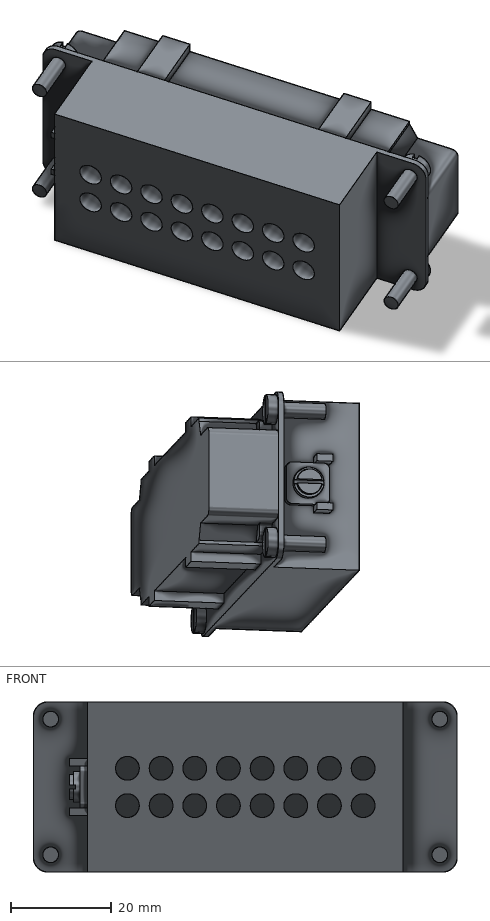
import cadquery as cq
import math


flange_length = 84.5
height = 34.0
flange_thickness = 1.1
flange_corner_radius = 3.0
flange_front = -flange_thickness

block_length = 62.9
block_depth = 17.3

hole_columns = 8
hole_rows = 2
hole_row_span = 47.0
hole_pitch_x = hole_row_span / (hole_columns - 1)
hole_pitch_z = 7.4
hole_diameter = 4.7
hole_depth = block_depth

body_depth = 14.1
body_height = 25.5
shoulder_height = 24.2
tongue_length = 84.3
tongue_height = 17.9
tongue_corner_radius = 1.5
slope_run = 1.8

rib_start = 17.0
rib_width = 6.0
rib_height = 29.4

stop_length = 70.5
stop_depth = 2.5
stop_corner_radius = 1.5
stop_root_radius = 0.6

screw_x = 38.8
screw_z = 13.5
shank_diameter = 3.1
shank_length = 8.9
head_diameter = 6.0
head_height = 2.0
head_slot_width = 1.0
head_slot_depth = 1.0

terminal_face = -block_length / 2
plate_gap = 2.2
plate_depth = 8.8
plate_height = 8.45
plate_thickness = 1.5
plate_corner_radius = 1.2
plate_center_y = flange_front - plate_gap - plate_depth / 2
clamp_collar_diameter = 6.1
clamp_collar_height = 1.3
clamp_top_diameter = 5.1
clamp_top_height = 0.85
clamp_slot_width = 0.85
clamp_slot_depth = 1.2
tab_gap = 8.0
tab_depth = 3.2
tab_thickness = 1.4
tab_length = 3.6


def box_along_y(length, box_height, start, end):
    """Box centred on X and Z that spans start to end along Y."""
    return cq.Workplane("XY").box(length, end - start, box_height).translate((0, (start + end) / 2, 0))


def cylinder_along_y(diameter, x, z, start, end):
    axis = cq.Vector(0, 1, 0)
    return cq.Workplane(cq.Solid.makeCylinder(diameter / 2, end - start, cq.Vector(x, start, z), axis))


def rod_along_minus_x(diameter, start, length):
    """Cylinder pointing to -X on the axis of the ground terminal."""
    base = cq.Vector(start, plate_center_y, 0)
    return cq.Workplane(cq.Solid.makeCylinder(diameter / 2, length, base, cq.Vector(-1, 0, 0)))


def make_flange():
    plate = box_along_y(flange_length, height, flange_front, 0)
    return plate.edges("|Y").fillet(flange_corner_radius)


def make_block():
    block = box_along_y(block_length, height, flange_front - block_depth, flange_front)
    return (
        block.faces("<Y").workplane(centerOption="CenterOfBoundBox")
        .rarray(hole_pitch_x, hole_pitch_z, hole_columns, hole_rows)
        .hole(hole_diameter, hole_depth)
    )


def make_body():
    tongue = box_along_y(tongue_length, tongue_height, 0, body_depth)
    tongue = tongue.edges("|Y").fillet(tongue_corner_radius)
    core = box_along_y(block_length, body_height, 0, body_depth)

    shoulder_x = block_length / 2
    shoulder_z = shoulder_height / 2
    slope_foot_x = shoulder_x + slope_run
    slope_foot_z = tongue_height / 2
    slopes = (
        cq.Workplane("XZ")
        .polyline([
            (shoulder_x, shoulder_z), (slope_foot_x, slope_foot_z),
            (slope_foot_x, -slope_foot_z), (shoulder_x, -shoulder_z),
            (-shoulder_x, -shoulder_z), (-slope_foot_x, -slope_foot_z),
            (-slope_foot_x, slope_foot_z), (-shoulder_x, shoulder_z),
        ])
        .close()
        .extrude(-body_depth)
    )
    body = tongue.union(core).union(slopes)

    rib_center = rib_start + rib_width / 2
    for x in (-rib_center, rib_center):
        body = body.union(box_along_y(rib_width, rib_height, 0, body_depth).translate((x, 0, 0)))
    return body


def make_stops():
    stops = box_along_y(stop_length, shoulder_height, 0, stop_depth)
    stops = stops.edges("|Y").fillet(stop_corner_radius)

    x = stop_length / 2
    z = tongue_height / 2
    r = stop_root_radius
    chord_gap = r * (1 - math.sqrt(0.5))
    root = (
        cq.Workplane("XZ")
        .moveTo(x, z)
        .lineTo(x + r, z)
        .threePointArc((x + chord_gap, z + chord_gap), (x, z + r))
        .close()
        .extrude(-stop_depth)
    )
    right_roots = root.union(root.mirror("XY"))
    return stops.union(right_roots).union(right_roots.mirror("YZ"))


def make_screw(x, z):
    shank = cylinder_along_y(shank_diameter, x, z, flange_front - shank_length, 0)
    head = cylinder_along_y(head_diameter, x, z, 0, head_height)
    slot = box_along_y(head_slot_width, head_diameter, head_height - head_slot_depth, head_height)
    return shank.union(head.cut(slot.translate((x, 0, z))))


def make_terminal():
    plate = cq.Workplane("XY").box(plate_thickness, plate_depth, plate_height)
    plate = plate.edges("|X").fillet(plate_corner_radius)
    plate = plate.translate((terminal_face - plate_thickness / 2, plate_center_y, 0))

    collar_base = terminal_face - plate_thickness
    collar_top = collar_base - clamp_collar_height
    clamp_top = collar_top - clamp_top_height
    collar = rod_along_minus_x(clamp_collar_diameter, collar_base, clamp_collar_height)
    clamp = collar.union(rod_along_minus_x(clamp_top_diameter, collar_top, clamp_top_height))
    slot = cq.Workplane("XY").box(clamp_slot_depth, clamp_collar_diameter, clamp_slot_width)
    clamp = clamp.cut(slot.translate((clamp_top + clamp_slot_depth / 2, plate_center_y, 0)))
    terminal = plate.union(clamp)

    tab_x = terminal_face - tab_length / 2
    tab_y = flange_front - tab_gap - tab_depth / 2
    tab_z = (plate_height + tab_thickness) / 2
    for z in (-tab_z, tab_z):
        tab = cq.Workplane("XY").box(tab_length, tab_depth, tab_thickness)
        terminal = terminal.union(tab.translate((tab_x, tab_y, z)))
    return terminal


result = make_flange().union(make_block()).union(make_body()).union(make_stops()).union(make_terminal())
for x in (-screw_x, screw_x):
    for z in (-screw_z, screw_z):
        result = result.union(make_screw(x, z))